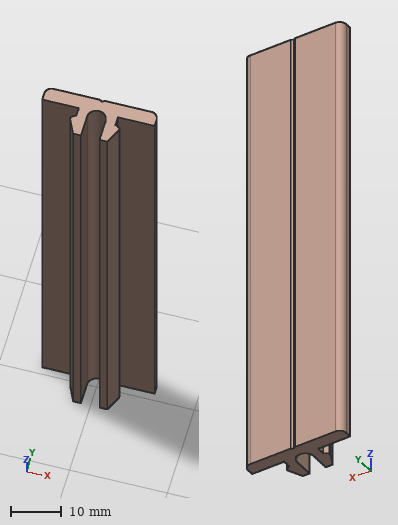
import cadquery as cq

length = 100.0
depth = 9.0

plate_width = 23.0
plate_thickness = 3.0
edge_radius = 1.5
groove_width = 1.0
groove_depth = 0.3

neck_width = 8.0
barb_width = 10.0
tip_width = 7.0
neck_end = 4.8
barb_start = 5.4
barb_end = 5.8
slot_width = 3.8
slot_top = 2.6


def cover_plate():
    plate = (
        cq.Workplane("XY")
        .rect(plate_width, plate_thickness)
        .extrude(length)
        .translate((0, -plate_thickness / 2, 0))
    )
    return plate.edges("|Z and >Y").fillet(edge_radius)


def barbed_stem():
    """Both legs as one solid stem, before the slot divides them."""
    right_side = [
        (neck_width / 2, -plate_thickness),
        (neck_width / 2, -neck_end),
        (barb_width / 2, -barb_start),
        (barb_width / 2, -barb_end),
        (tip_width / 2, -depth),
    ]
    left_side = [(-x, y) for x, y in reversed(right_side)]
    return cq.Workplane("XY").polyline(right_side + left_side).close().extrude(length)


def leg_slot():
    radius = slot_width / 2
    arc_start = -slot_top - radius
    return (
        cq.Workplane("XY")
        .moveTo(-radius, -depth)
        .lineTo(-radius, arc_start)
        .threePointArc((0, -slot_top), (radius, arc_start))
        .lineTo(radius, -depth)
        .close()
        .extrude(length)
    )


def face_groove():
    corners = [(-groove_width / 2, 0), (0, -groove_depth), (groove_width / 2, 0)]
    return cq.Workplane("XY").polyline(corners).close().extrude(length)


result = cover_plate().union(barbed_stem()).cut(leg_slot()).cut(face_groove())